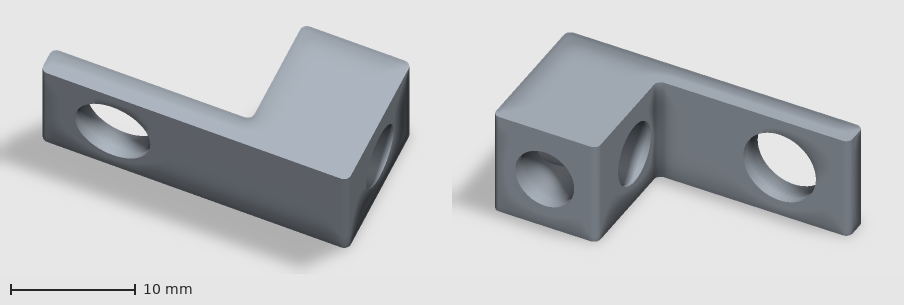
import cadquery as cq

length = 26.97
depth = 12.7
height = 9.52

arm_thickness = 2.43
block_width = 9.52
corner_radius = 0.6

arm_hole_diameter = 6.6
arm_hole_x = 6.35
block_hole_diameter = 5.55
block_hole_y = depth / 2
back_hole_diameter = 5.37

block_start_x = length - block_width
back_hole_x = block_start_x + block_width / 2


def make_body():
    """Extrude the L-shaped profile and round all of its upright edges."""
    profile = [
        (0, 0),
        (length, 0),
        (length, depth),
        (block_start_x, depth),
        (block_start_x, arm_thickness),
        (0, arm_thickness),
    ]
    body = cq.Workplane("XY").polyline(profile).close().extrude(height)
    return body.edges("|Z").fillet(corner_radius)


def make_arm_hole():
    """Cylinder along Y through the arm."""
    return (
        cq.Workplane("XZ")
        .center(arm_hole_x, height / 2)
        .circle(arm_hole_diameter / 2)
        .extrude(-arm_thickness)
    )


def make_block_hole():
    """Cylinder along X through the block."""
    return (
        cq.Workplane("YZ", origin=(block_start_x, 0, 0))
        .center(block_hole_y, height / 2)
        .circle(block_hole_diameter / 2)
        .extrude(block_width)
    )


def make_back_hole():
    """Cylinder along Y from the +Y face of the block to the axis of the block hole."""
    return (
        cq.Workplane("XZ", origin=(0, depth, 0))
        .center(back_hole_x, height / 2)
        .circle(back_hole_diameter / 2)
        .extrude(depth - block_hole_y)
    )


result = make_body().cut(make_arm_hole()).cut(make_block_hole()).cut(make_back_hole())